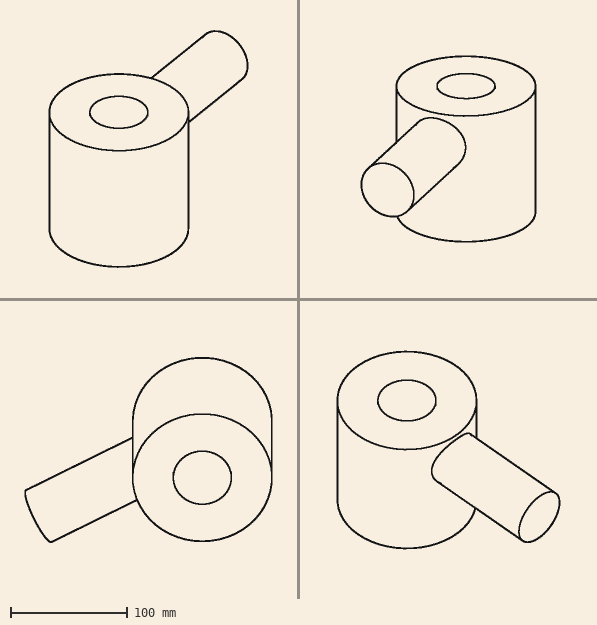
import cadquery as cq

hub_diameter = 120.0
hub_height = 120.0
bore_diameter = 50.0

handle_diameter = 50.0
handle_reach = 100.0
handle_top_gap = 5.0

handle_end_y = hub_diameter / 2 + handle_reach
handle_axis_z = hub_height - handle_top_gap - handle_diameter / 2


def make_hub():
    return cq.Workplane("XY").circle(hub_diameter / 2).extrude(hub_height)


def make_handle():
    """Solid rod from the hub axis out to the handle end."""
    return (
        cq.Workplane("XZ")
        .center(0, handle_axis_z)
        .circle(handle_diameter / 2)
        .extrude(-handle_end_y)
    )


def make_bore():
    """Through hole along the hub axis, cut last so it also clears the handle's root."""
    return cq.Workplane("XY").circle(bore_diameter / 2).extrude(hub_height)


result = make_hub().union(make_handle()).cut(make_bore())